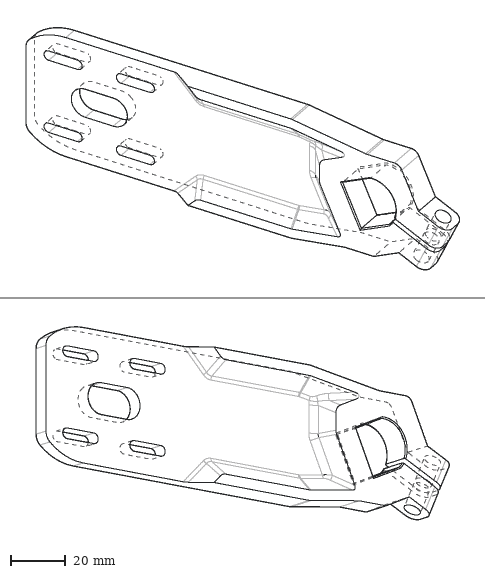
import cadquery as cq
import math

LENGTH = 183.96
HEIGHT = 51.2
DEPTH = 12.0
PLATE_DEPTH = 6.0
TOP = HEIGHT / 2

NOSE_ARC_RADIUS = 24.0
NOSE_ARC_END = 17.2
NOSE_CORNER_RADIUS = 5.0

MOTOR_X = 31.5
SMALL_SLOT_SPACING = 31.0
SMALL_SLOT_LENGTH = 16.3
SMALL_SLOT_WIDTH = 4.0
LARGE_SLOT_LENGTH = 24.0
LARGE_SLOT_WIDTH = 12.0

TILT = 25.0
BORE_Z = 0.5
BORE_HALF_SIDE = 9.5
BORE_RADIUS = 10.2
BORE_CHAMFER = 0.5
SLIT_WIDTH = 2.0
TAB_HALF_WIDTH = 11.1
TAB_REACH = 30.4
TAB_ROUNDING = 4.0
CLAMP_HOLE_DIAMETER = 6.3
CLAMP_HOLE_INSET = 5.7

TAB_REACH_ALONG_X = TAB_REACH * math.cos(math.radians(TILT))
TAB_WIDTH_ALONG_X = TAB_HALF_WIDTH * math.sin(math.radians(TILT))
BORE_X = LENGTH - TAB_REACH_ALONG_X - TAB_WIDTH_ALONG_X

HEAD_TOP = 20.8
HEAD_BOTTOM = -22.2
HEAD_HALF_SIDE = 19.5
HEAD_LOWER_SIDE = 21.0
HEAD_CORNER_RADIUS = 3.5
TAPER_START = 117.5
SIDE_TAPER = 8.5
BEND_RADIUS = 5.0

RELIEF = DEPTH - PLATE_DEPTH
RIB_START = 73.1
RIB_EDGE = 21.6
RIB_CORNER_RADIUS = 5.0
BOSS_FLAT_X = 129.5
BOSS_CORNER_RADIUS = 5.0
FLOOR_FILLET = 4.7
VALLEY_FILLET = 2.0

TOUCHING = 0.001
PICK_REACH = 0.6


def turned(along, across, angle):
    """Point at the given offsets in a frame turned by the angle about the bore centre."""
    cosine = math.cos(math.radians(angle))
    sine = math.sin(math.radians(angle))
    return (
        BORE_X + along * cosine - across * sine,
        BORE_Z + along * sine + across * cosine,
    )


def meet(point_a, angle_a, point_b, angle_b):
    """Crossing point of two lines, each given by a point and a direction angle."""
    ax, az = math.cos(math.radians(angle_a)), math.sin(math.radians(angle_a))
    bx, bz = math.cos(math.radians(angle_b)), math.sin(math.radians(angle_b))
    gap_x, gap_z = point_b[0] - point_a[0], point_b[1] - point_a[1]
    travel = (gap_x * bz - gap_z * bx) / (ax * bz - az * bx)
    return (point_a[0] + travel * ax, point_a[1] + travel * az)


def front_facing(depth, x=0.0, z=0.0, turn=0.0):
    """Workplane facing the front (-Y), at the given depth in front of the back face."""
    plane = cq.Plane(origin=(x, -depth, z), xDir=(1, 0, 0), normal=(0, -1, 0))
    return cq.Workplane(plane.rotated((0, 0, turn)))


def near(x, z, depth=DEPTH / 2, reach=PICK_REACH):
    """Selects edges whose centre is close to the given place."""
    return cq.selectors.BoxSelector(
        (x - reach, -depth - reach, z - reach), (x + reach, -depth + reach, z + reach)
    )


def make_outline():
    """Full-depth block with the outer outline, without the slit."""
    nose_centre_z = TOP - NOSE_ARC_RADIUS
    nose_z = nose_centre_z + math.sqrt(NOSE_ARC_RADIUS**2 - NOSE_ARC_END**2)
    arc_angle = (math.atan2(nose_z - nose_centre_z, -NOSE_ARC_END) + math.pi / 2) / 2
    arc_mid_x = NOSE_ARC_END + NOSE_ARC_RADIUS * math.cos(arc_angle)
    arc_mid_z = nose_centre_z + NOSE_ARC_RADIUS * math.sin(arc_angle)

    upper_tab = turned(TAB_REACH, TAB_HALF_WIDTH, -TILT)
    lower_tab = turned(TAB_REACH, -TAB_HALF_WIDTH, -TILT)
    head_front = turned(HEAD_HALF_SIDE, 0, TILT)
    head_under = turned(0, -HEAD_LOWER_SIDE, TILT)
    upper_root = meet(upper_tab, -TILT, head_front, 90 + TILT)
    lower_root = meet(lower_tab, -TILT, head_under, TILT)
    head_corner = meet((0, HEAD_TOP), 0, head_front, 90 + TILT)
    head_low_corner = meet((0, HEAD_BOTTOM), 0, head_under, TILT)

    upper_taper_end = meet((TAPER_START, TOP), -SIDE_TAPER, (0, HEAD_TOP), 0)
    lower_taper_end = meet((TAPER_START, -TOP), SIDE_TAPER, (0, HEAD_BOTTOM), 0)

    block = (
        front_facing(0)
        .moveTo(0, -nose_z)
        .lineTo(0, nose_z)
        .threePointArc((arc_mid_x, arc_mid_z), (NOSE_ARC_END, TOP))
        .lineTo(TAPER_START, TOP)
        .lineTo(*upper_taper_end)
        .lineTo(*head_corner)
        .lineTo(*upper_root)
        .lineTo(*upper_tab)
        .lineTo(*lower_tab)
        .lineTo(*lower_root)
        .lineTo(*head_low_corner)
        .lineTo(*lower_taper_end)
        .lineTo(TAPER_START, -TOP)
        .lineTo(NOSE_ARC_END, -TOP)
        .threePointArc((arc_mid_x, -arc_mid_z), (0, -nose_z))
        .close()
        .extrude(DEPTH)
    )
    rounded_corners = [
        ((0, nose_z), NOSE_CORNER_RADIUS),
        ((0, -nose_z), NOSE_CORNER_RADIUS),
        (head_corner, HEAD_CORNER_RADIUS),
        ((TAPER_START, TOP), BEND_RADIUS),
        ((TAPER_START, -TOP), BEND_RADIUS),
        (upper_taper_end, BEND_RADIUS),
    ]
    for (x, z), radius in rounded_corners:
        block = block.edges("|Y").edges(near(x, z)).fillet(radius)
    tab_end = turned(TAB_REACH, 0, -TILT)
    for face in (0, DEPTH):
        block = block.edges(near(*tab_end, face)).fillet(TAB_ROUNDING)
    return block


def slope_out(points):
    """Raised solid with this outline on its front, widening at 45 degrees down to the plate."""
    front = front_facing(DEPTH).polyline(points).close()
    base = front_facing(PLATE_DEPTH).polyline(points).close().offset2D(RELIEF, "intersection")
    return cq.Workplane(cq.Solid.makeLoft([front.val(), base.val()], True))


def round_wall_edge(body, front_corner, radius):
    """Round the wall edge that slopes down from a corner of the front."""
    x, z = front_corner
    wall_edges = body.edges("not #Y")
    return wall_edges.edges(cq.selectors.NearestToPointSelector((x, -DEPTH, z))).fillet(radius)


def make_rib():
    """Rib along the upper edge, reaching past the outline and the bore."""
    drop = (LENGTH - TAPER_START) * math.tan(math.radians(SIDE_TAPER))
    start = (RIB_START + TOP - RIB_EDGE, RIB_EDGE)
    bend = (TAPER_START, RIB_EDGE)
    points = [
        start,
        bend,
        (LENGTH, RIB_EDGE - drop),
        (LENGTH, HEIGHT),
        (RIB_START - TOP, HEIGHT),
    ]
    rib = slope_out(points)
    wall_edges = [(start, RIB_CORNER_RADIUS), (bend, BEND_RADIUS)]
    for corner, radius in wall_edges:
        rib = round_wall_edge(rib, corner, radius)
    return rib


def make_boss():
    """Raised boss around the bore, its walls parallel to two sides of the bore."""
    left = turned(-HEAD_HALF_SIDE, 0, TILT)
    upper = turned(0, HEAD_HALF_SIDE, TILT)
    upper_corner = meet((BOSS_FLAT_X, 0), 90, upper, TILT)
    lower_corner = meet((BOSS_FLAT_X, 0), 90, left, 90 + TILT)
    points = [
        upper_corner,
        turned(LENGTH, HEAD_HALF_SIDE, TILT),
        turned(-HEAD_HALF_SIDE, -LENGTH, TILT),
        lower_corner,
    ]
    boss = slope_out(points)
    for corner in (upper_corner, lower_corner):
        boss = round_wall_edge(boss, corner, BOSS_CORNER_RADIUS)
    return boss


def make_front():
    """Plate with both ribs and the boss raised on it, reaching past the outline."""
    oversize = 3 * LENGTH
    plate = front_facing(0).rect(oversize, oversize).extrude(PLATE_DEPTH)
    rib = make_rib()
    ribbed_plate = plate.union(rib).union(rib.mirror("XY"))
    boss = make_boss()
    body = ribbed_plate.union(boss)

    def is_seam(edge):
        middle = cq.Vertex.makeVertex(*edge.positionAt(0.5).toTuple())
        return max(middle.distance(boss.val()), middle.distance(ribbed_plate.val())) < TOUCHING

    pocket = cq.selectors.BoxSelector((0, -DEPTH, -TOP), (BORE_X, 0, TOP))
    body = body.edges(pocket).filter(is_seam).edges(">Y").fillet(FLOOR_FILLET)
    return body.edges(pocket).filter(is_seam).fillet(VALLEY_FILLET)


def make_bore():
    """Bore cutter: a square hole with its clamped side rounded, chamfered at both faces."""

    def profile(grow):
        half = BORE_HALF_SIDE + grow
        radius = BORE_RADIUS + grow
        flat_end = math.sqrt(radius**2 - half**2)
        return (
            front_facing(0, BORE_X, BORE_Z, TILT)
            .moveTo(-half, -half)
            .lineTo(flat_end, -half)
            .threePointArc((radius, 0), (flat_end, half))
            .lineTo(-half, half)
            .close()
        )

    bore = profile(0).extrude(DEPTH)
    mouth = cq.Solid.makeLoft(
        [
            profile(BORE_CHAMFER).val().moved(cq.Location((0, -DEPTH, 0))),
            profile(0).val().moved(cq.Location((0, BORE_CHAMFER - DEPTH, 0))),
        ],
        True,
    )
    return bore.union(cq.Workplane(mouth)).union(cq.Workplane(mouth.mirror("XZ", (0, -DEPTH / 2, 0))))


def make_slit():
    """Cutter for the clamp slit, from the bore centre out through the end of the tabs."""
    x, z = turned(TAB_REACH / 2, 0, -TILT)
    return front_facing(0, x, z, -TILT).rect(TAB_REACH, SLIT_WIDTH).extrude(DEPTH)


def make_clamp_hole():
    """Cutter for the clamp screw hole, across both tabs at mid depth."""
    x, z = turned(TAB_REACH - CLAMP_HOLE_INSET, 0, -TILT)
    across = (math.sin(math.radians(TILT)), 0, math.cos(math.radians(TILT)))
    plane = cq.Plane(origin=(x, -DEPTH / 2, z), xDir=(0, 1, 0), normal=across)
    return cq.Workplane(plane).circle(CLAMP_HOLE_DIAMETER / 2).extrude(2 * TAB_HALF_WIDTH, both=True)


def make_motor_slots():
    """Cutters for the central slot and the four screw slots around it."""
    centre = front_facing(0, MOTOR_X)
    large = centre.slot2D(LARGE_SLOT_LENGTH, LARGE_SLOT_WIDTH).extrude(DEPTH)
    small = (
        centre.rarray(SMALL_SLOT_SPACING, SMALL_SLOT_SPACING, 2, 2)
        .slot2D(SMALL_SLOT_LENGTH, SMALL_SLOT_WIDTH)
        .extrude(DEPTH)
    )
    return large.add(small).combine()


result = (
    make_outline()
    .intersect(make_front())
    .cut(make_bore())
    .cut(make_slit())
    .cut(make_clamp_hole())
    .cut(make_motor_slots())
)